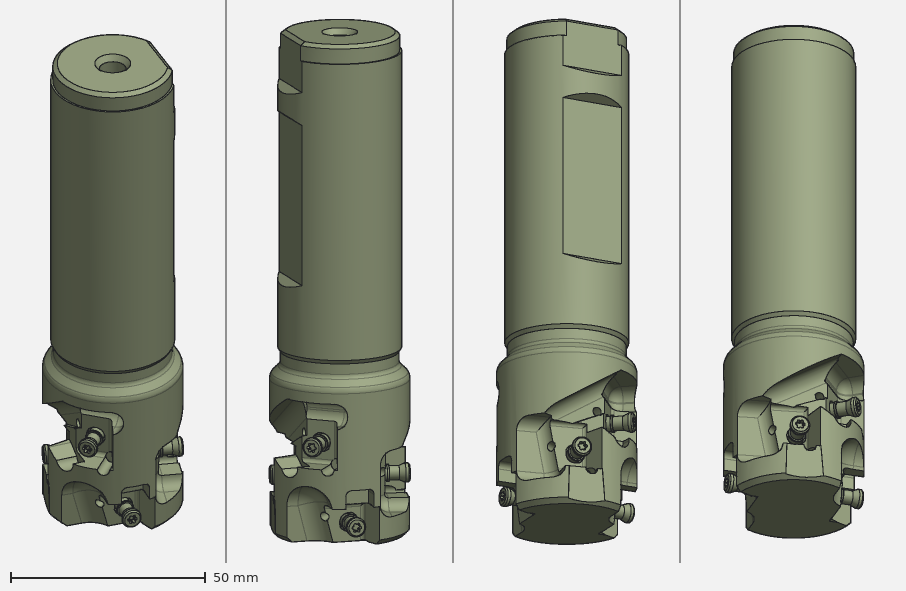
import cadquery as cq
import math

LENGTH = 131.8
BODY_R = 18.0
SHANK_R = 16.0
RELIEF_R = 15.4
NECK_R = 15.3
SHOULDER_R = 17.5
BOTTOM_CHAMFER = 1.3
BODY_TOP_Z = 40.6
SHOULDER_Z = 42.2
CONE_TOP_R = 15.8
CONE_TOP_Z = 43.9
NECK_BOTTOM_Z = 45.0
NECK_TOP_Z = 47.8
SHANK_BOTTOM_Z = 48.9
RELIEF_Z = 126.9
TOP_CHAMFER_HEIGHT = 0.9
TOP_CHAMFER_WIDTH = 1.2

FLAT_Y = 13.5
FLAT_RUNOUT = 1.6
LONG_FLAT_BOTTOM_Z = 67.9
LONG_FLAT_TOP_Z = 110.0
END_FLAT_BOTTOM_Z = 118.7
BORE_R = 3.4
BORE_DEPTH = 19.8
BORE_TIP_ANGLE = 118.0
COUNTERSINK_R = 4.6
COUNTERSINK_DEPTH = 1.6

SEAT_D = 11.0
SCREW_OFFSET = -0.9
SEAT_OPEN = -10.5
WALL_SLOPE = 0.4
SEAT_FILLET = 1.0
HOLE_MOUTH_R = 2.5
HOLE_MOUTH_DEPTH = 1.3
CORNER_RELIEF_R = 1.6
LAND_D = 17.3
LAND_TOP_SPAN = (-4.3, 4.5)
LAND_BOTTOM_SPAN = (-4.6, 5.3)
COOLANT_R = 1.2
COOLANT_RISE = 1.7
COOLANT_D = 9.9
COOLANT_N = -6.9
COOLANT_LENGTH = 6.6
OUTSIDE_D = 21.1

LOWER = {"angle": 177.0, "z": 5.1, "floor": -1.3, "top": 10.1, "wall": 2.9}
MIDDLE = {"angle": -103.0, "z": 15.4, "floor": 9.9, "top": 23.5, "wall": 1.7}
UPPER = {"angle": -41.0, "z": 26.0, "floor": 20.4, "top": 33.0, "wall": 3.4}
POCKETS = [LOWER, MIDDLE, UPPER]
FLUTE_TURNS = [0.0, 180.0]

GULLET_OPEN = -22.4
MIDDLE_GULLET_D = 8.5
MIDDLE_GULLET_FILLET = 3.3
MIDDLE_GULLET_BOTTOM_Z = 6.9
MIDDLE_GULLET_TOP_Z = 24.4
MIDDLE_GULLET_BOTTOM_EDGE = -4.6
MIDDLE_GULLET_TOP_EDGE = -7.9
LOWER_GULLET_D = 7.4
LOWER_GULLET_FILLET = 6.3
LOWER_GULLET_BOTTOM_Z = -7.9
LOWER_GULLET_TOP_Z = 15.8
LOWER_GULLET_BOTTOM_EDGE = -2.5
LOWER_GULLET_TOP_EDGE = -8.5

DIAGONAL_Y = 10.8
DIAGONAL_FILLET = 4.0
DIAGONAL_TOP_Z = 37.8
DIAGONAL_START = (-14.5, 24.8)
DIAGONAL_BEND_X = 6.6
DIAGONAL_END_X = 13.2
DIAGONAL_LOWER_EDGE = [(13.2, 30.3), (5.3, 27.7), (-4.0, 23.5), (-14.5, 19.8)]

STEP_Y = 11.9
STEP_LEFT_X = -7.9
STEP_LEDGE = [(STEP_LEFT_X, 22.4), (0.7, 21.0), (4.5, 19.0)]
STEP_HOLLOW_BOTTOM = (7.1, 17.3)
STEP_HOLLOW_END = (9.9, 19.8)
STEP_RIGHT_TOP_Z = 31.6
STEP_LEFT_TOP_Z = 23.7

END_SLOT_D = 9.9
END_SLOT_BOTTOM_Z = 31.0
END_SLOT_START = -5.3
END_SLOT_REACH = 8.3
END_SLOT_CORNER = 3.3
END_SLOT_FLOOR_FILLET = 3.2

RECESS_D = 12.5
RECESS_WIDTH = 7.6
RECESS_TOP_Z = 15.0
RECESS_FILLET = 1.6

SCREW_R = 2.0
SCREW_DEPTH = 5.3
COLLAR_R = 2.2
COLLAR_START = 1.0
COLLAR_END = 1.6
SCREW_NECK_R = 1.8
HEAD_CONE_HEIGHT = 1.6
HEAD_R = 2.5
HEAD_TOP = 7.0
HEAD_RIM = 1.2
HEAD_CHAMFER = 0.4
SOCKET_R = 0.9
SOCKET_LOBE_R = 0.33
SOCKET_LOBES = 6
SOCKET_DEPTH = 1.6


def turn(shape, angle):
    return shape.rotate((0, 0, 0), (0, 0, 1), angle)


def edge_near(*point):
    return cq.selectors.NearestToPointSelector(point)


def turned_blank():
    top_r = RELIEF_R - TOP_CHAMFER_WIDTH
    profile = (
        cq.Workplane("XZ")
        .moveTo(0, 0)
        .lineTo(BODY_R - BOTTOM_CHAMFER, 0)
        .lineTo(BODY_R, BOTTOM_CHAMFER)
        .lineTo(BODY_R, BODY_TOP_Z)
        .tangentArcPoint((SHOULDER_R, SHOULDER_Z), relative=False)
        .lineTo(CONE_TOP_R, CONE_TOP_Z)
        .tangentArcPoint((NECK_R, NECK_BOTTOM_Z), relative=False)
        .lineTo(NECK_R, NECK_TOP_Z)
        .lineTo(SHANK_R, SHANK_BOTTOM_Z)
        .lineTo(SHANK_R, RELIEF_Z)
        .lineTo(RELIEF_R, RELIEF_Z)
        .lineTo(RELIEF_R, LENGTH - TOP_CHAMFER_HEIGHT)
        .lineTo(top_r, LENGTH)
        .lineTo(0, LENGTH)
        .close()
    )
    return profile.revolve(360, (0, 0, 0), (0, 1, 0))


def flat_cutters():
    slope = FLAT_RUNOUT / (SHANK_R - FLAT_Y)
    far_y = BODY_R
    spread = slope * (far_y - FLAT_Y)
    long_flat = [
        (FLAT_Y, LONG_FLAT_BOTTOM_Z),
        (far_y, LONG_FLAT_BOTTOM_Z - spread),
        (far_y, LONG_FLAT_TOP_Z + spread),
        (FLAT_Y, LONG_FLAT_TOP_Z),
    ]
    end_flat = [
        (FLAT_Y, END_FLAT_BOTTOM_Z),
        (far_y, END_FLAT_BOTTOM_Z - spread),
        (far_y, LENGTH),
        (FLAT_Y - TOP_CHAMFER_WIDTH, LENGTH),
        (FLAT_Y, LENGTH - TOP_CHAMFER_HEIGHT),
    ]
    cutters = []
    for outline in (long_flat, end_flat):
        cutters.append(cq.Workplane("YZ").polyline(outline).close().extrude(SHANK_R, both=True))
    return cutters


def bore_cutter():
    tip = BORE_R / math.tan(math.radians(BORE_TIP_ANGLE / 2))
    profile = cq.Workplane("XZ").polyline(
        [
            (0, LENGTH),
            (COUNTERSINK_R, LENGTH),
            (BORE_R, LENGTH - COUNTERSINK_DEPTH),
            (BORE_R, LENGTH - BORE_DEPTH),
            (0, LENGTH - BORE_DEPTH - tip),
        ]
    )
    return profile.close().revolve(360, (0, 0, 0), (0, 1, 0))


def pocket_cutter(pocket):
    """Seat, sloped side wall and floor of one insert pocket."""
    floor_z = pocket["floor"]
    wall = pocket["wall"]
    outline = [
        (SEAT_D, SEAT_OPEN),
        (OUTSIDE_D, SEAT_OPEN),
        (OUTSIDE_D, wall + WALL_SLOPE * (OUTSIDE_D - SEAT_D)),
        (SEAT_D, wall),
    ]
    space = cq.Workplane("XY", origin=(0, 0, floor_z)).polyline(outline).close()
    space = space.extrude(pocket["top"] - floor_z)
    return space.faces("<X").edges("not <Y").fillet(SEAT_FILLET)


def corner_relief_cutter(pocket):
    origin = (SEAT_D, pocket["wall"], pocket["floor"])
    return cq.Workplane("YZ", origin=origin).circle(CORNER_RELIEF_R).extrude(OUTSIDE_D - SEAT_D)


def coolant_cutter(pocket):
    """Slanting coolant hole, drilled to both sides of its outlet beside the seat."""
    direction = cq.Vector(1, -1, 0).normalized()
    outlet = cq.Vector(COOLANT_D, COOLANT_N, pocket["z"] + COOLANT_RISE)
    start = outlet - direction * COOLANT_LENGTH
    return cq.Workplane(cq.Solid.makeCylinder(COOLANT_R, 2 * COOLANT_LENGTH, start, direction))


def gullet_cutter(floor_d, outline):
    """Space with a tangential and Z outline, from the radial distance floor_d outwards."""
    return cq.Workplane("YZ", origin=(floor_d, 0, 0)).polyline(outline).close().extrude(OUTSIDE_D - floor_d)


def middle_gullet_cutter():
    outline = [
        (GULLET_OPEN, MIDDLE_GULLET_BOTTOM_Z),
        (MIDDLE_GULLET_BOTTOM_EDGE, MIDDLE_GULLET_BOTTOM_Z),
        (MIDDLE_GULLET_TOP_EDGE, MIDDLE_GULLET_TOP_Z),
        (GULLET_OPEN, MIDDLE_GULLET_TOP_Z),
    ]
    gullet = gullet_cutter(MIDDLE_GULLET_D, outline)
    bottom_corner = edge_near(OUTSIDE_D, MIDDLE_GULLET_BOTTOM_EDGE, MIDDLE_GULLET_BOTTOM_Z)
    gullet = gullet.edges("|X").edges(bottom_corner).fillet(MIDDLE_GULLET_FILLET)
    return gullet.faces("<X").edges("not <Y").fillet(MIDDLE_GULLET_FILLET)


def lower_gullet_cutter():
    outline = [
        (GULLET_OPEN, LOWER_GULLET_BOTTOM_Z),
        (LOWER_GULLET_BOTTOM_EDGE, LOWER_GULLET_BOTTOM_Z),
        (LOWER_GULLET_TOP_EDGE, LOWER_GULLET_TOP_Z),
        (GULLET_OPEN, LOWER_GULLET_TOP_Z),
    ]
    gullet = gullet_cutter(LOWER_GULLET_D, outline)
    top_corner = edge_near(OUTSIDE_D, LOWER_GULLET_TOP_EDGE, LOWER_GULLET_TOP_Z)
    gullet = gullet.edges("|X").edges(top_corner).fillet(LOWER_GULLET_FILLET)
    return gullet.faces("<X").edges("not (<Y or <Z)").fillet(LOWER_GULLET_FILLET)


def end_slot_cutter():
    outline = [
        (END_SLOT_START, END_SLOT_BOTTOM_Z),
        (END_SLOT_REACH, END_SLOT_BOTTOM_Z),
        (END_SLOT_REACH, DIAGONAL_TOP_Z),
        (END_SLOT_START, DIAGONAL_TOP_Z),
    ]
    slot = gullet_cutter(END_SLOT_D, outline)
    slot = slot.edges("|X and >Y").fillet(END_SLOT_CORNER)
    return slot.faces("<X").edges("not <Y").fillet(END_SLOT_FLOOR_FILLET)


def diagonal_gullet_cutter():
    """Channel climbing across the head above the middle and upper pockets."""
    bend = (DIAGONAL_BEND_X, DIAGONAL_TOP_Z)
    outline = [DIAGONAL_START, bend, (DIAGONAL_END_X, DIAGONAL_TOP_Z), *DIAGONAL_LOWER_EDGE]
    channel = cq.Workplane("XZ", origin=(0, -DIAGONAL_Y, 0)).polyline(outline).close()
    channel = channel.extrude(OUTSIDE_D - DIAGONAL_Y)
    middle_x = (DIAGONAL_START[0] + bend[0]) / 2
    middle_z = (DIAGONAL_START[1] + bend[1]) / 2
    return channel.edges(edge_near(middle_x, -DIAGONAL_Y, middle_z)).fillet(DIAGONAL_FILLET)


def step_cutter():
    """Flat step between the diagonal channel and the middle and upper pockets."""
    outline = (
        cq.Workplane("XZ", origin=(0, -STEP_Y, 0))
        .polyline(STEP_LEDGE)
        .threePointArc(STEP_HOLLOW_BOTTOM, STEP_HOLLOW_END)
        .lineTo(STEP_HOLLOW_END[0], STEP_RIGHT_TOP_Z)
        .lineTo(STEP_LEFT_X, STEP_LEFT_TOP_Z)
        .close()
    )
    return outline.extrude(OUTSIDE_D - STEP_Y)


def recess_cutter():
    """Rounded recess just above the lower pocket."""
    height = RECESS_TOP_Z - LOWER["top"]
    size = (OUTSIDE_D - RECESS_D, RECESS_WIDTH, height)
    recess = cq.Workplane("XY").box(*size, centered=(False, True, False))
    recess = recess.edges("|X and >Z").fillet(RECESS_FILLET)
    return recess.translate((RECESS_D, 0, LOWER["top"]))


def land_cutter():
    top_z = MIDDLE["floor"]
    outline = [
        (LAND_BOTTOM_SPAN[0], 0),
        (LAND_BOTTOM_SPAN[1], 0),
        (LAND_TOP_SPAN[1], top_z),
        (LAND_TOP_SPAN[0], top_z),
    ]
    return gullet_cutter(LAND_D, outline)


def screw_at_zero():
    rim_start = HEAD_TOP - HEAD_RIM
    profile = cq.Workplane("XY").polyline(
        [
            (-SCREW_DEPTH, 0),
            (-SCREW_DEPTH, SCREW_R),
            (COLLAR_START, SCREW_R),
            (COLLAR_START, COLLAR_R),
            (COLLAR_END, COLLAR_R),
            (COLLAR_END, SCREW_NECK_R),
            (rim_start - HEAD_CONE_HEIGHT, SCREW_NECK_R),
            (rim_start, HEAD_R),
            (HEAD_TOP - HEAD_CHAMFER, HEAD_R),
            (HEAD_TOP, HEAD_R - HEAD_CHAMFER),
            (HEAD_TOP, 0),
        ]
    )
    screw = profile.close().revolve(360, (0, 0, 0), (1, 0, 0))
    face = cq.Workplane("YZ", origin=(HEAD_TOP, 0, 0))
    socket = face.circle(SOCKET_R).extrude(-SOCKET_DEPTH)
    lobes = face.polarArray(SOCKET_R, 0, 360, SOCKET_LOBES).circle(SOCKET_LOBE_R).extrude(-SOCKET_DEPTH)
    return screw.cut(socket).cut(lobes)


def screw_hole_cutter(pocket):
    origin = (SEAT_D - SCREW_DEPTH, SCREW_OFFSET, pocket["z"])
    hole = cq.Workplane("YZ", origin=origin).circle(SCREW_R).extrude(SCREW_DEPTH)
    mouth_origin = (SEAT_D - HOLE_MOUTH_DEPTH, SCREW_OFFSET, pocket["z"])
    mouth = cq.Workplane("YZ", origin=mouth_origin).circle(HOLE_MOUTH_R).extrude(OUTSIDE_D - SEAT_D)
    return hole.union(mouth)


def flute_cutters():
    cutters = [diagonal_gullet_cutter(), step_cutter()]
    cutters.append(turn(lower_gullet_cutter(), LOWER["angle"]))
    cutters.append(turn(recess_cutter(), LOWER["angle"]))
    cutters.append(turn(middle_gullet_cutter(), MIDDLE["angle"]))
    cutters.append(turn(end_slot_cutter(), UPPER["angle"]))
    cutters.append(turn(land_cutter(), MIDDLE["angle"]))
    for pocket in POCKETS:
        for make in (pocket_cutter, corner_relief_cutter, coolant_cutter, screw_hole_cutter):
            cutters.append(turn(make(pocket), pocket["angle"]))
    return cutters


def build_holder():
    holder = turned_blank().cut(bore_cutter())
    for cutter in flat_cutters():
        holder = holder.cut(cutter)
    for cutter in flute_cutters():
        for angle in FLUTE_TURNS:
            holder = holder.cut(turn(cutter, angle))
    return holder


def build_screws():
    screws = []
    for pocket in POCKETS:
        placed = screw_at_zero().translate((SEAT_D, SCREW_OFFSET, pocket["z"]))
        for angle in FLUTE_TURNS:
            screws.append(turn(placed, pocket["angle"] + angle).val())
    return screws


holder = build_holder()
screws = build_screws()
result = cq.Compound.makeCompound([holder.val(), *screws])